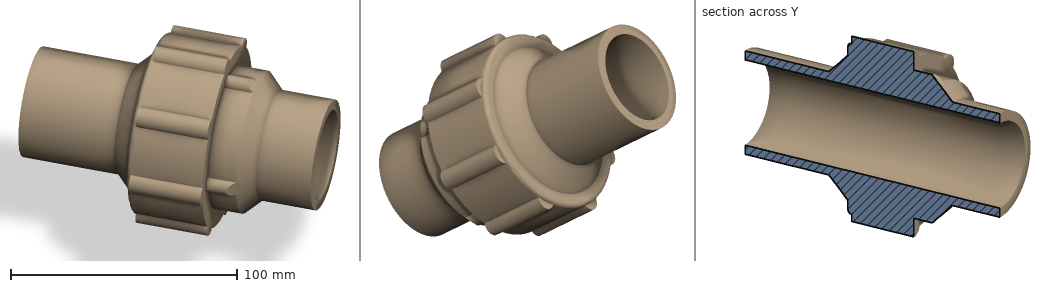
import cadquery as cq

length = 134.0
pipe_radius = 24.9
bore_radius = 20.4

nut_start = 54.0
nut_end = 88.8
nut_radius = 41.0
nut_edge_radius = 1.9
grip_count = 8
grip_tip_radius = 44.5
grip_radius = 4.7
grip_start = nut_start + nut_edge_radius

left_shoulder = 44.1
right_shoulder = 109.1

collar_radius = 32.2
collar_rib_count = 4
collar_rib_radius = 3.5
collar_tip_radius = collar_radius + collar_rib_radius


def cylinder(radius, start, end):
    return cq.Workplane("YZ").workplane(offset=start).circle(radius).extrude(end - start)


def revolve_profile(points):
    """Revolve an (x, radius) profile about the X axis."""
    return cq.Workplane("XY").polyline(points).close().revolve(360, (0, 0, 0), (1, 0, 0))


def ribs(count, center_radius, radius, start, end):
    """Round ribs parallel to X, evenly spaced around it."""
    return (
        cq.Workplane("YZ")
        .workplane(offset=start)
        .polarArray(center_radius, 0, 360, count)
        .circle(radius)
        .extrude(end - start)
    )


def make_body():
    """Pipe ends, conical shoulders and collar."""
    left_rise = nut_start - left_shoulder
    collar_end = right_shoulder - (collar_radius - pipe_radius)
    return revolve_profile([
        (0, 0),
        (0, pipe_radius),
        (left_shoulder, pipe_radius),
        (nut_start, pipe_radius + left_rise),
        (nut_end, pipe_radius + left_rise),
        (nut_end, collar_radius),
        (collar_end, collar_radius),
        (right_shoulder, pipe_radius),
        (length, pipe_radius),
        (length, 0),
    ])


def make_collar_ribs():
    """Collar ribs trimmed to the slope of the right shoulder."""
    tip_end = right_shoulder - (collar_tip_radius - pipe_radius)
    shoulder_envelope = revolve_profile([
        (nut_end, 0),
        (nut_end, collar_tip_radius),
        (tip_end, collar_tip_radius),
        (right_shoulder, pipe_radius),
        (right_shoulder, 0),
    ])
    rods = ribs(collar_rib_count, collar_radius, collar_rib_radius, nut_end, right_shoulder)
    return rods.intersect(shoulder_envelope)


def make_nut():
    """Nut with a rounded front edge and grip ribs."""
    nut = cylinder(nut_radius, nut_start, nut_end).faces("<X").edges().fillet(nut_edge_radius)
    grip_center = grip_tip_radius - grip_radius
    return nut.union(ribs(grip_count, grip_center, grip_radius, grip_start, nut_end))


bore = cylinder(bore_radius, 0, length)
result = make_body().union(make_nut()).union(make_collar_ribs()).cut(bore)